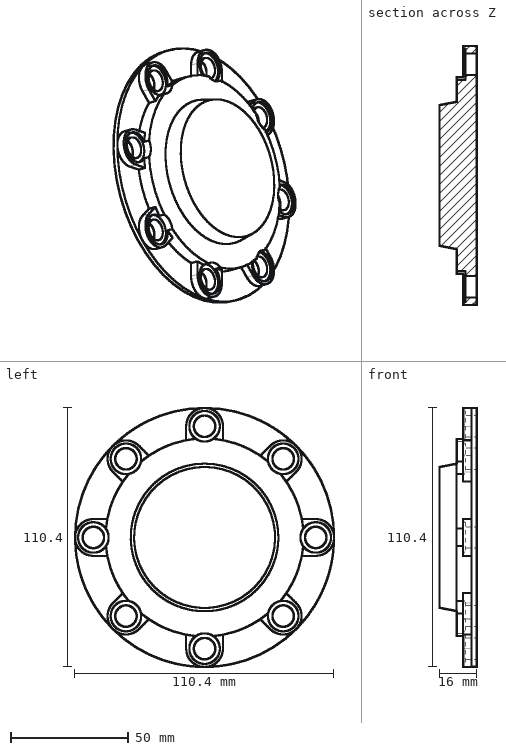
import cadquery as cq

total_height = 16.0
flange_thickness = 2.2
lug_thickness = 3.6
step_height = 2.8
boss_height = total_height - flange_thickness - lug_thickness - step_height

flange_radius = 55.2
step_radius = 42.2
boss_base_radius = 31.5
boss_top_radius = 30.1

lug_count = 8
lug_radius = 7.8
bolt_circle_radius = flange_radius - lug_radius
hole_radius = 4.5
counterbore_radius = 6.5
counterbore_depth = 1.0

lug_face = flange_thickness + lug_thickness
step_face = lug_face + step_height
boss_face = step_face + boss_height


def plane_at(distance):
    """Plane facing -X, a distance from the back face, with local x along +Y and local y along -Z."""
    return cq.Workplane(cq.Plane(origin=(-distance, 0, 0), xDir=(0, 1, 0), normal=(-1, 0, 0)))


def on_bolt_circle(workplane):
    """One point per lug, evenly spaced around the axis."""
    return workplane.polarArray(bolt_circle_radius, 0, 360, lug_count)


def make_cover():
    """Flange, raised step and tapered boss, revolved about the X axis as one profile."""
    profile = (
        cq.Workplane("XZ")
        .polyline([
            (0, 0),
            (0, flange_radius),
            (-flange_thickness, flange_radius),
            (-flange_thickness, step_radius),
            (-step_face, step_radius),
            (-step_face, boss_base_radius),
            (-boss_face, boss_top_radius),
            (-boss_face, 0),
        ])
        .close()
    )
    return profile.revolve(360, (0, 0, 0), (1, 0, 0))


def make_lugs():
    """Straight-sided lugs with rounded outer ends, running inward under the step."""
    inner_radius = step_radius - lug_radius
    lug = (
        plane_at(flange_thickness)
        .moveTo(inner_radius, -lug_radius)
        .lineTo(bolt_circle_radius, -lug_radius)
        .threePointArc((flange_radius, 0), (bolt_circle_radius, lug_radius))
        .lineTo(inner_radius, lug_radius)
        .close()
        .extrude(lug_thickness)
    )
    lugs = cq.Workplane()
    for index in range(lug_count):
        lugs = lugs.add(lug.rotate((0, 0, 0), (1, 0, 0), index * 360 / lug_count))
    return lugs.combine()


bolt_holes = on_bolt_circle(plane_at(0)).circle(hole_radius).extrude(total_height)
counterbores = (
    on_bolt_circle(plane_at(lug_face - counterbore_depth))
    .circle(counterbore_radius)
    .extrude(counterbore_depth + step_height)
)

result = make_cover().union(make_lugs()).cut(bolt_holes).cut(counterbores)